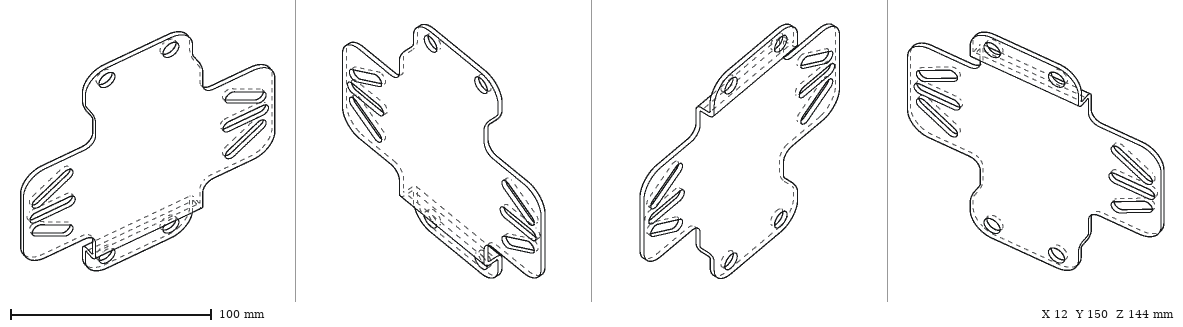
import cadquery as cq

depth = 12.0
width = 150.0
height = 144.0

sheet = 2.7
inner_bend = 1.0
outer_bend = inner_bend + sheet
step_height = 51.9

arm_width = 64.0
corner_radius = 12.9
notch_radius = 6.5

hole_diameter = 9.5
hole_y = 19.0
hole_z = 63.2

slot_y = 57.6
slot_pitch = 15.0
slot_travel = 20.1
slot_width = 6.9
slot_angle = 30.0


def joggled_strip():
    """Constant-thickness sheet, stepped by two bends at each end."""
    plate_back = depth / 2
    plate_front = plate_back - sheet
    tab_front = -depth / 2
    tab_back = tab_front + sheet
    top = height / 2
    step_low = step_height - sheet

    strip = (
        cq.Workplane("XZ")
        .moveTo(plate_back, -step_height)
        .lineTo(plate_back, step_height)
        .lineTo(tab_back, step_height)
        .lineTo(tab_back, top)
        .lineTo(tab_front, top)
        .lineTo(tab_front, step_low)
        .lineTo(plate_front, step_low)
        .lineTo(plate_front, -step_low)
        .lineTo(tab_front, -step_low)
        .lineTo(tab_front, -top)
        .lineTo(tab_back, -top)
        .lineTo(tab_back, -step_height)
        .close()
        .extrude(width / 2, both=True)
    )

    def bend_edges(corners):
        edges = cq.Workplane()
        for x, z in corners:
            for side in (-1, 1):
                edges = edges.add(strip.edges(cq.NearestToPointSelector((x, 0, side * z))))
        return edges.vals()

    inner = bend_edges([(tab_back, step_height), (plate_front, step_low)])
    outer = bend_edges([(tab_front, step_low), (plate_back, step_height)])
    body = strip.val().fillet(inner_bend, inner)
    return cq.Workplane(body.fillet(outer_bend, outer))


def cross_outline():
    """Prism along X with the cross-shaped face outline."""
    def bar(size_y, size_z):
        return cq.Workplane("YZ").rect(size_y, size_z).extrude(depth, both=True)

    side_bar = bar(width, arm_width).edges("|X").fillet(corner_radius)
    tab_bar = bar(arm_width, height).edges("|X").fillet(corner_radius)
    half = arm_width / 2
    notches = cq.selectors.BoxSelector(
        (-2 * depth, -half - 1.5, -half - 1.5), (2 * depth, half + 1.5, half + 1.5)
    )
    return side_bar.union(tab_bar).edges("|X").edges(notches).fillet(notch_radius)


def tab_holes():
    return (
        cq.Workplane("YZ")
        .rect(2 * hole_y, 2 * hole_z, forConstruction=True)
        .vertices()
        .circle(hole_diameter / 2)
        .extrude(depth, both=True)
    )


def arm_slots():
    """Three slots per side arm; the outer two slope inward and away from the middle one."""
    slots = cq.Workplane("YZ")
    for side in (-1, 1):
        for row in (-1, 0, 1):
            slot = (
                cq.Workplane("YZ")
                .center(side * slot_y, row * slot_pitch)
                .slot2D(slot_travel + slot_width, slot_width, -side * row * slot_angle)
                .extrude(depth, both=True)
            )
            slots = slots.add(slot)
    return slots.combine()


result = joggled_strip().intersect(cross_outline()).cut(tab_holes()).cut(arm_slots())